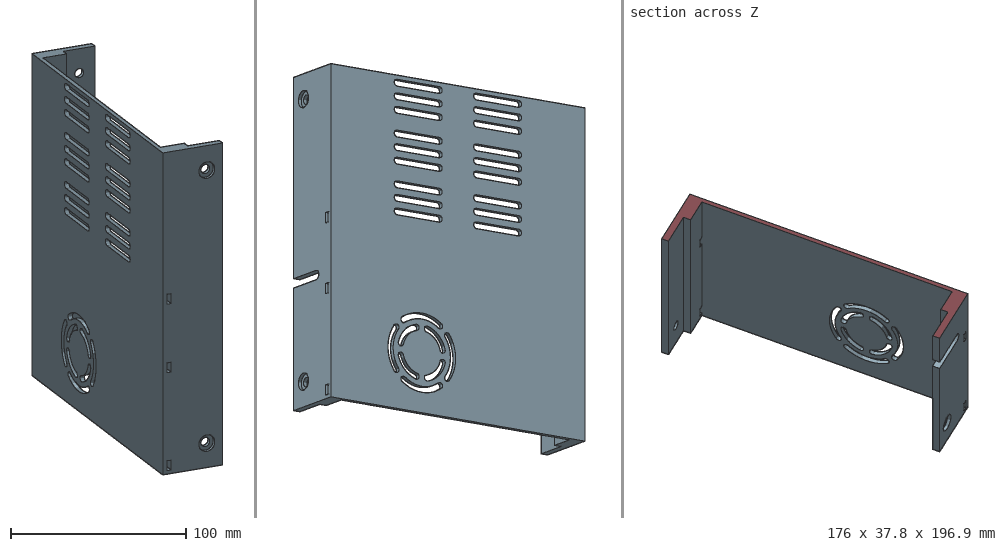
import cadquery as cq
import math

WIDTH = 176.0
DEPTH = 37.8
HEIGHT = 196.9

FRONT_THICKNESS = 2.8
WALL_THICKNESS = 4.5
LEDGE_THICKNESS = 2 * WALL_THICKNESS
THIN_WALL_DEPTH = 20.0
LEDGE_Y = DEPTH - THIN_WALL_DEPTH

VENT_LENGTH = 33.0
VENT_WIDTH = 4.0
VENT_COLUMN_SPACING = 55.0
VENT_COLUMNS = 2
VENT_PITCH = 8.0
VENTS_PER_GROUP = 3
VENT_GROUP_PITCH = 30.0
VENT_GROUPS = 3
VENT_TOP_MARGIN = 4.5

FAN_X = -25.0
FAN_Z = 35.5
ARC_SLOT_WIDTH = 3.5
ARC_SLOTS_PER_RING = 4
OUTER_RING_RADIUS = 21.65
OUTER_HALF_ANGLE = 35.6
OUTER_FIRST_ANGLE = 0.0
INNER_RING_RADIUS = 14.9
INNER_HALF_ANGLE = 31.0
INNER_FIRST_ANGLE = 45.0

SCREW_DIAMETER = 5.5
SCREW_HEAD_DIAMETER = 10.0
SCREW_HEAD_DEPTH = 2.0
SCREW_Y = DEPTH - THIN_WALL_DEPTH / 2
SCREW_END_MARGIN = 15.0

TIE_WIDTH = 2.5
TIE_HEIGHT = 6.0
TIE_Y = FRONT_THICKNESS + TIE_WIDTH / 2
TIE_Z_POSITIONS = (5.25, 65.1, 107.0)

CABLE_SLOT_WIDTH = 5.5
CABLE_SLOT_DEPTH = 25.5
CABLE_SLOT_Z = 75.2


def make_shell():
    """U-shaped profile with stepped side walls, extruded along Z."""
    half = WIDTH / 2
    wall_x = half - WALL_THICKNESS
    ledge_x = half - LEDGE_THICKNESS
    return (
        cq.Workplane("XY")
        .moveTo(-half, 0)
        .lineTo(half, 0)
        .lineTo(half, DEPTH)
        .lineTo(wall_x, DEPTH)
        .lineTo(wall_x, LEDGE_Y)
        .lineTo(ledge_x, LEDGE_Y)
        .lineTo(ledge_x, FRONT_THICKNESS)
        .lineTo(-ledge_x, FRONT_THICKNESS)
        .lineTo(-ledge_x, LEDGE_Y)
        .lineTo(-wall_x, LEDGE_Y)
        .lineTo(-wall_x, DEPTH)
        .lineTo(-half, DEPTH)
        .close()
        .extrude(HEIGHT)
    )


def front_plane():
    """Sketch plane on the front face: local x = X, local y = Z, normal = -Y."""
    return cq.Workplane("XZ")


def side_plane(x):
    """Sketch plane at the given X: local x = Y, local y = Z, normal = +X."""
    return cq.Workplane("YZ", origin=(x, 0, 0))


def make_vents():
    """Cutters for the ventilation slots in the front plate."""
    centres = []
    for column in range(VENT_COLUMNS):
        x = (column - (VENT_COLUMNS - 1) / 2) * VENT_COLUMN_SPACING
        for group in range(VENT_GROUPS):
            for slot in range(VENTS_PER_GROUP):
                drop = VENT_TOP_MARGIN + group * VENT_GROUP_PITCH + slot * VENT_PITCH
                centres.append((x, HEIGHT - drop))
    return front_plane().pushPoints(centres).slot2D(VENT_LENGTH, VENT_WIDTH).extrude(-FRONT_THICKNESS)


def fan_point(radius, angle):
    """Point on the front plane at a polar position about the fan centre."""
    turn = math.radians(angle)
    return (FAN_X + radius * math.cos(turn), FAN_Z + radius * math.sin(turn))


def make_arc_slot(ring_radius, mid_angle, half_angle):
    """Cutter for one round-ended slot that follows a circle about the fan centre."""
    outer = ring_radius + ARC_SLOT_WIDTH / 2
    inner = ring_radius - ARC_SLOT_WIDTH / 2
    start = mid_angle - half_angle
    end = mid_angle + half_angle
    cap_angle = math.degrees(ARC_SLOT_WIDTH / 2 / ring_radius)
    return (
        front_plane()
        .moveTo(*fan_point(outer, start))
        .threePointArc(fan_point(outer, mid_angle), fan_point(outer, end))
        .threePointArc(fan_point(ring_radius, end + cap_angle), fan_point(inner, end))
        .threePointArc(fan_point(inner, mid_angle), fan_point(inner, start))
        .threePointArc(fan_point(ring_radius, start - cap_angle), fan_point(outer, start))
        .close()
        .extrude(-FRONT_THICKNESS)
    )


def cut_fan_ring(body, ring_radius, half_angle, first_angle):
    """Cut one ring of evenly spaced arc slots."""
    for index in range(ARC_SLOTS_PER_RING):
        mid_angle = first_angle + index * 360 / ARC_SLOTS_PER_RING
        body = body.cut(make_arc_slot(ring_radius, mid_angle, half_angle))
    return body


def cut_screw_holes(body):
    """Cut the screw holes through both walls, counterbored from the outside."""
    centres = [(SCREW_Y, SCREW_END_MARGIN), (SCREW_Y, HEIGHT - SCREW_END_MARGIN)]
    holes = side_plane(-WIDTH / 2).pushPoints(centres).circle(SCREW_DIAMETER / 2).extrude(WIDTH)
    body = body.cut(holes)
    for side in (-1, 1):
        face = side_plane(side * WIDTH / 2).pushPoints(centres)
        body = body.cut(face.circle(SCREW_HEAD_DIAMETER / 2).extrude(-side * SCREW_HEAD_DEPTH))
    return body


def make_tie_openings():
    """Cutters for the rectangular openings, running through both walls."""
    centres = [(TIE_Y, z) for z in TIE_Z_POSITIONS]
    return side_plane(-WIDTH / 2).pushPoints(centres).rect(TIE_WIDTH, TIE_HEIGHT).extrude(WIDTH)


def make_cable_slot():
    """Cutter for the open-ended slot through the full thickness of the left wall."""
    radius = CABLE_SLOT_WIDTH / 2
    tip_y = DEPTH - CABLE_SLOT_DEPTH
    return (
        side_plane(-WIDTH / 2)
        .moveTo(DEPTH, CABLE_SLOT_Z - radius)
        .lineTo(tip_y + radius, CABLE_SLOT_Z - radius)
        .threePointArc((tip_y, CABLE_SLOT_Z), (tip_y + radius, CABLE_SLOT_Z + radius))
        .lineTo(DEPTH, CABLE_SLOT_Z + radius)
        .close()
        .extrude(LEDGE_THICKNESS)
    )


result = make_shell().cut(make_vents())
result = cut_fan_ring(result, OUTER_RING_RADIUS, OUTER_HALF_ANGLE, OUTER_FIRST_ANGLE)
result = cut_fan_ring(result, INNER_RING_RADIUS, INNER_HALF_ANGLE, INNER_FIRST_ANGLE)
result = cut_screw_holes(result)
result = result.cut(make_tie_openings())
result = result.cut(make_cable_slot())